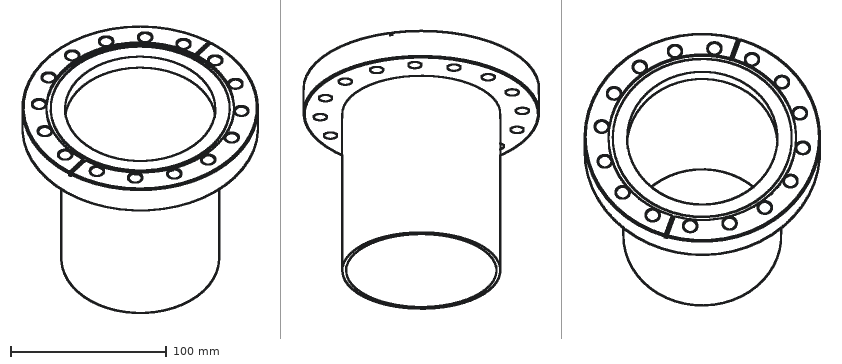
import cadquery as cq
import math

total_height = 134.8

flange_diameter = 151.6
flange_thickness = 19.7
rim_chamfer = 0.8

bore_diameter = 96.7
tube_diameter = 101.8
bore_lip_depth = 11.0

recess_diameter = 120.7
recess_depth = 1.7
knife_edge_diameter = 115.2
knife_edge_depth = 0.68
sealing_face_depth = 1.2

bolt_count = 16
bolt_circle_diameter = 130.3
bolt_hole_diameter = 8.5
bolt_hole_chamfer = 0.38

leak_groove_width = 1.7
leak_groove_depth = 2.1

flange_radius = flange_diameter / 2
bore_radius = bore_diameter / 2
tube_radius = tube_diameter / 2
recess_radius = recess_diameter / 2
knife_edge_radius = knife_edge_diameter / 2
bolt_circle_radius = bolt_circle_diameter / 2
flange_bottom = total_height - flange_thickness
tube_top = total_height - bore_lip_depth


def revolved_ring(profile):
    """Turn a closed (radius, height) profile once around the Z axis."""
    return cq.Workplane("XZ").polyline(profile).close().revolve(360, (0, 0, 0), (0, 1, 0))


def make_flange_ring():
    """Flange with chamfered rims, knife-edge recess and a socket for the tube."""
    profile = [
        (tube_radius, flange_bottom),
        (flange_radius - rim_chamfer, flange_bottom),
        (flange_radius, flange_bottom + rim_chamfer),
        (flange_radius, total_height - rim_chamfer),
        (flange_radius - rim_chamfer, total_height),
        (recess_radius, total_height),
        (recess_radius, total_height - recess_depth),
        (knife_edge_radius, total_height - knife_edge_depth),
        (knife_edge_radius, total_height - sealing_face_depth),
        (bore_radius, total_height - sealing_face_depth),
        (bore_radius, tube_top),
        (tube_radius, tube_top),
    ]
    return revolved_ring(profile)


def make_bolt_hole_cutter():
    """Through hole with a small countersink at the top face."""
    hole_radius = bolt_hole_diameter / 2
    profile = [
        (0, flange_bottom),
        (hole_radius, flange_bottom),
        (hole_radius, total_height - bolt_hole_chamfer),
        (hole_radius + bolt_hole_chamfer, total_height),
        (0, total_height),
    ]
    return revolved_ring(profile)


def cut_bolt_holes(body):
    """Bolt holes straddle the X and Y axes by half a pitch."""
    pitch = 360 / bolt_count
    cutter = make_bolt_hole_cutter()
    for index in range(bolt_count):
        angle = math.radians((index + 0.5) * pitch)
        x = bolt_circle_radius * math.cos(angle)
        y = bolt_circle_radius * math.sin(angle)
        body = body.cut(cutter.translate((x, y, 0)))
    return body


def cut_leak_grooves(body):
    """Two opposite grooves along Y, from the recess wall out to the rim."""
    groove_floor = cq.Workplane("XY", origin=(0, 0, total_height - leak_groove_depth))
    bar = groove_floor.rect(leak_groove_width, flange_diameter).extrude(leak_groove_depth)
    recess_core = groove_floor.circle(recess_radius).extrude(leak_groove_depth)
    return body.cut(bar.cut(recess_core))


def make_flange():
    return cut_leak_grooves(cut_bolt_holes(make_flange_ring()))


def make_tube():
    """Plain tube, seated in the flange socket up to the bore lip."""
    return cq.Workplane("XY").circle(tube_radius).circle(bore_radius).extrude(tube_top)


flange = make_flange()
tube = make_tube()

result = cq.Compound.makeCompound([flange.val(), tube.val()])